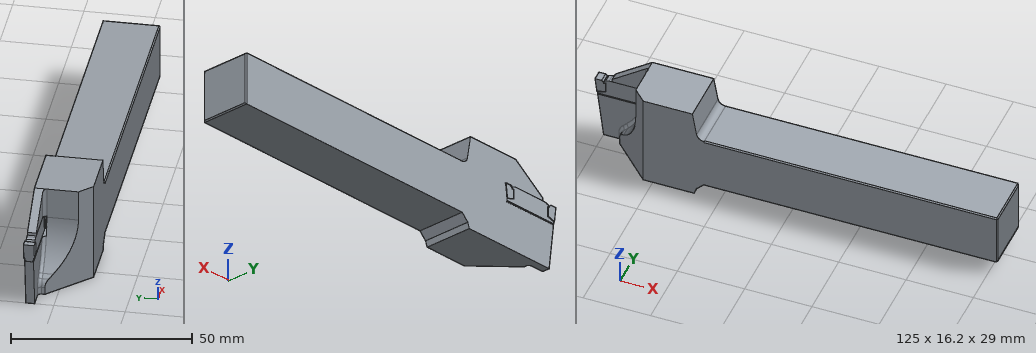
import cadquery as cq
import math


total_length = 125.0
holder_width = 16.0
shank_height = 16.0
cutting_height = 20.0
shank_bottom = cutting_height - shank_height
shank_chamfer = 0.4

head_height = 29.0
head_back_top_x = 34.2
head_back_angle = 10.0
head_back_fillet = 2.2
heel_start_x = 34.8
heel_corner_x = 35.4
heel_corner_z = 1.8
heel_end_x = heel_corner_x + shank_bottom - heel_corner_z
front_relief_angle = 7.0
side_chamfer_start_x = 19.6

blade_thickness = 2.5
wall_x = 16.0
wall_radius = 20.5
wall_foot_x = 8.0
wall_foot_radius = 3.1
wall_fillet = 1.0
jaw_front_x = 5.0
jaw_front_top_z = 21.1

insert_width = 3.0
insert_length = 20.1
insert_top = 20.2
insert_bottom = 14.4
seat_bevel = 0.4
head_length_top = 2.6
head_length_middle = 3.1
head_step_z = 19.1
head_back_z = 16.1
head_front_z = 15.4
groove_start_x = 2.0
groove_bottom_x = 2.5
groove_depth = 0.5
ramp_start_x = 3.1
ramp_end_x = 4.1

relief_slope = math.tan(math.radians(front_relief_angle))
head_side_clearance = (insert_width - blade_thickness) / 2
back_foot_x = head_back_top_x + (head_height - cutting_height) * math.tan(math.radians(head_back_angle))
shank_start_x = back_foot_x + head_back_fillet * math.tan(math.radians((90 - head_back_angle) / 2))
sin45 = math.sin(math.radians(45))
cos45 = math.cos(math.radians(45))


def front_x(z):
    """X of the sloping front face at height z."""
    return (cutting_height - z) * relief_slope


def slab(profile, y_back, y_front):
    """Extrude an XZ profile from y_back to the more negative y_front."""
    return profile.extrude(y_back - y_front).translate((0, y_back, 0))


def holder_blank():
    """Side outline of blade, jaw, head and shank at full width."""
    outline = (
        cq.Workplane("XZ")
        .moveTo(front_x(0), 0)
        .lineTo(heel_start_x, 0)
        .lineTo(heel_corner_x, heel_corner_z)
        .lineTo(heel_end_x, shank_bottom)
        .lineTo(total_length, shank_bottom)
        .lineTo(total_length, cutting_height)
        .lineTo(back_foot_x, cutting_height)
        .lineTo(head_back_top_x, head_height)
        .lineTo(wall_x, head_height)
        .lineTo(jaw_front_x, jaw_front_top_z)
        .lineTo(jaw_front_x, insert_bottom)
        .lineTo(front_x(insert_bottom), insert_bottom)
        .close()
    )
    blank = slab(outline, 0, -holder_width)
    blank = blank.edges(
        cq.selectors.NearestToPointSelector((back_foot_x, -holder_width / 2, cutting_height))
    ).fillet(head_back_fillet)
    return blank.faces(">X").edges().chamfer(shank_chamfer)


def shank_edge_chamfer():
    """Prism removed along the top -Y edge of the shank."""
    return (
        cq.Workplane("YZ", origin=(shank_start_x, 0, 0))
        .moveTo(-holder_width, cutting_height)
        .lineTo(-holder_width + shank_chamfer, cutting_height)
        .lineTo(-holder_width, cutting_height - shank_chamfer)
        .close()
        .extrude(total_length - shank_start_x)
    )


def nose_chamfer():
    """45 degree wedge removed from the -Y front corner of the head."""
    return (
        cq.Workplane("XY")
        .moveTo(side_chamfer_start_x, -holder_width)
        .lineTo(side_chamfer_start_x - holder_width + blade_thickness, -blade_thickness)
        .lineTo(-holder_width, -blade_thickness)
        .lineTo(-holder_width, -holder_width)
        .close()
        .extrude(head_height)
    )


def wall_relief():
    """Space beside the blade, bounded by the curved wall."""
    arc_end_x = wall_x - wall_radius * (1 - cos45)
    arc_end_z = cutting_height - wall_radius * sin45
    foot_arc_top_x = wall_foot_x + wall_foot_radius * (1 - cos45)
    foot_arc_top_z = arc_end_z - (arc_end_x - foot_arc_top_x)
    foot_arc_bottom_z = foot_arc_top_z - wall_foot_radius * sin45
    half_angle = math.radians(22.5)
    wall_arc_mid = (
        wall_x - wall_radius * (1 - math.cos(half_angle)),
        cutting_height - wall_radius * math.sin(half_angle),
    )
    foot_arc_mid = (
        wall_foot_x + wall_foot_radius * (1 - math.cos(half_angle)),
        foot_arc_bottom_z + wall_foot_radius * math.sin(half_angle),
    )
    outline = (
        cq.Workplane("XZ")
        .moveTo(-wall_x, head_height)
        .lineTo(wall_x, head_height)
        .lineTo(wall_x, cutting_height)
        .threePointArc(wall_arc_mid, (arc_end_x, arc_end_z))
        .lineTo(foot_arc_top_x, foot_arc_top_z)
        .threePointArc(foot_arc_mid, (wall_foot_x, foot_arc_bottom_z))
        .lineTo(wall_foot_x, 0)
        .lineTo(-wall_x, 0)
        .close()
    )
    return slab(outline, -blade_thickness, -holder_width)


def wall_cutter():
    """Wall relief with a rounded root."""
    sharp = wall_relief()
    root = cq.selectors.NearestToPointSelector((wall_x, -blade_thickness, (cutting_height + head_height) / 2))
    return sharp.edges(root).fillet(wall_fillet)


def insert_clearance():
    """Slot beside the insert, as deep as the root fillet, running into the wall."""
    outline = (
        cq.Workplane("XZ")
        .moveTo(0, insert_bottom)
        .lineTo(insert_length, insert_bottom)
        .lineTo(insert_length, insert_top)
        .lineTo(0, insert_top)
        .close()
    )
    return slab(outline, -blade_thickness, -blade_thickness - wall_fillet)


def insert_bar():
    """Front half of the middle bar, as thick as the blade."""
    mid_x = insert_length / 2
    outline = (
        cq.Workplane("XZ")
        .moveTo(front_x(insert_bottom), insert_bottom)
        .lineTo(front_x(cutting_height), cutting_height)
        .lineTo(groove_start_x, cutting_height)
        .lineTo(groove_bottom_x, cutting_height - groove_depth)
        .lineTo(ramp_start_x, cutting_height)
        .lineTo(ramp_end_x, insert_top)
        .lineTo(mid_x, insert_top)
        .lineTo(mid_x, insert_bottom)
        .close()
    )
    return slab(outline, 0, -blade_thickness)


def insert_head():
    """Wider cutting head at the front end of the insert."""
    outline = (
        cq.Workplane("XZ")
        .moveTo(front_x(cutting_height), cutting_height)
        .lineTo(groove_start_x, cutting_height)
        .lineTo(groove_bottom_x, cutting_height - groove_depth)
        .lineTo(head_length_top, head_step_z)
        .lineTo(head_length_middle, head_step_z)
        .lineTo(head_length_middle, head_back_z)
        .lineTo(front_x(head_front_z), head_front_z)
        .close()
    )
    return slab(outline, head_side_clearance, -blade_thickness - head_side_clearance)


def insert_envelope():
    """Double-ended insert with square lower edges, mirrored about mid length."""
    half = insert_bar().union(insert_head())
    middle = (insert_length / 2, 0, 0)
    return half.union(half.mirror("YZ", middle)).clean()


def make_insert():
    """Insert with its long lower edges bevelled."""
    return insert_envelope().faces("<Z").edges("|X").chamfer(seat_bevel)


def make_holder():
    """Tool holder with a square-cornered seat for the insert."""
    holder = holder_blank().cut(shank_edge_chamfer())
    holder = holder.cut(nose_chamfer()).cut(wall_cutter())
    return holder.cut(insert_clearance()).cut(insert_envelope())


insert = make_insert()
holder = make_holder()

result = cq.Compound.makeCompound([holder.solids().val(), insert.solids().val()])